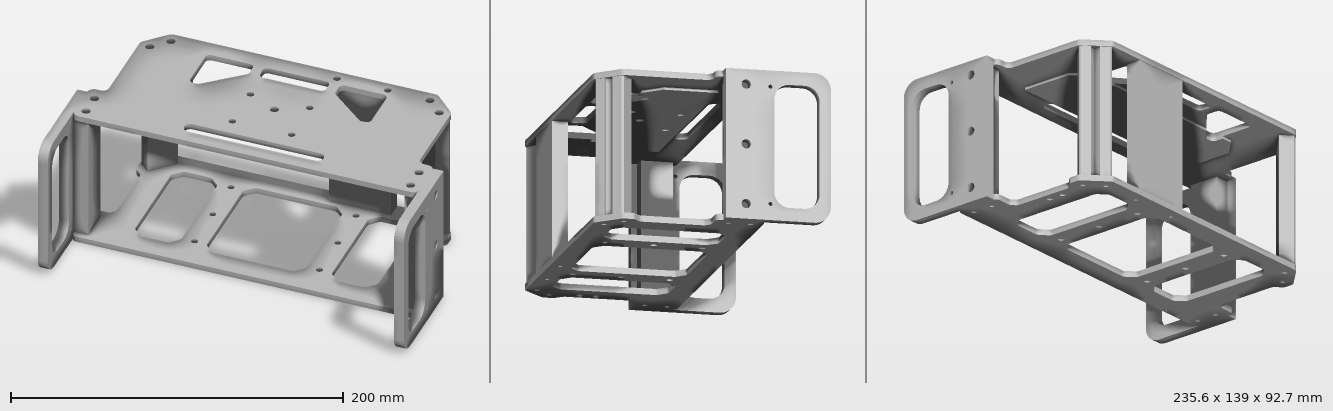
import cadquery as cq
import math

FRAME_HEIGHT = 92.7
PLATE_THICKNESS = 3.8
PLATE_BACK = 100.0
POST_HEIGHT = FRAME_HEIGHT - 2 * PLATE_THICKNESS
TOP_PLATE_Z = FRAME_HEIGHT - PLATE_THICKNESS

OVERALL_WIDTH = 235.6
HANDLE_THICKNESS = 6.5
HANDLE_LENGTH = 65.0
HANDLE_CORNER_RADIUS = 10.0
LEFT_HANDLE_BACK = 26.0
HANDLE_STAGGER = 2.0
GRIP_WIDTH = 28.0
GRIP_HEIGHT = 76.2
GRIP_RADIUS = 9.5
GRIP_FRONT_WALL = 7.0
HANDLE_SCREW_DIAMETER = 5.7
HANDLE_SCREW_SETBACK = 12.6
HANDLE_SCREW_PITCH = 37.0
PIN_HOLE_DIAMETER = 2.5
PIN_HOLE_SETBACK = 27.6
PIN_HOLE_SPACING = 72.6

EAR_HALF_WIDTH = OVERALL_WIDTH / 2 - HANDLE_THICKNESS
BODY_HALF_WIDTH = 100.5
EAR_BACK = 30.2
BACK_CHAMFER = 14.5

TOP_FRONT = 0.5
TOP_CORNER_RADIUS = 4.0
SCREW_CLEARANCE_DIAMETER = 5.5
BACK_SCREW_CLEARANCE_DIAMETER = 4.6
FRONT_SLOT_LENGTH = 90.0
FRONT_SLOT_WIDTH = 8.0
FRONT_SLOT_CENTRE = (1.0, 13.8)
BACK_SLOT_LENGTH = 42.6
BACK_SLOT_WIDTH = 10.2
BACK_SLOT_Y = 83.2
WINDOW_CORNER_RADIUS = 3.0
TRIANGLE_OUTER_X = 58.5
TRIANGLE_INNER_X = 27.8
TRIANGLE_TIP_X = 52.2
TRIANGLE_FRONT = 57.8
TRIANGLE_SIDE_FRONT = 78.6
TRIANGLE_BACK = 88.3
CENTRE_HOLE_DIAMETER = 5.5
CENTRE_HOLE_Y = 50.1
MOUNT_HOLE_DIAMETER = 4.6
MOUNT_HOLE_X = 19.1
MOUNT_HOLE_YS = (29.6, 59.4)

BOTTOM_CORNER_RADIUS = 3.0
WAIST_HALF_WIDTH = 95.5
WAIST_BACK = 73.5
WAIST_FRONT_CHAMFER = 3.5
OPENING_FRONT = 14.5
OPENING_BACK = 86.0
OPENING_CHAMFER = 6.0
CENTRE_OPENING_HALF_WIDTH = 32.2
SIDE_OPENING_INNER_X = 48.5
SIDE_OPENING_OUTER_X = 78.5
RIB_HOLE_DIAMETER = 4.2
RIB_HOLE_X = (CENTRE_OPENING_HALF_WIDTH + SIDE_OPENING_INNER_X) / 2
RIB_HOLE_YS = (21.5, 51.5, 81.5)
EDGE_HOLE_DIAMETER = 4.2
EDGE_HOLE_X = 90.5
EDGE_HOLE_YS = (54.7, 64.7)

BAR_SCREW_DIAMETER = 3.3
BAR_SCREW_SPACING = 13.9
POST_LENGTH = 20.0
POST_INNER_X = 102.0
POST_Y = 14.2
POST_SCREW_X = 104.75
BAR_ANGLE = 45.0
BAR_LENGTH = 20.0
BAR_THICKNESS = 10.0
BAR_INSET = 0.5
BAR_CHAMFER = 1.0
BAR_GROOVE_WIDTH = 5.6
BAR_GROOVE_WALL = 1.5
BAR_SCREW_SETBACK = 6.2
BACK_BAR_X = 39.8
BACK_BAR_WIDTH = 40.0
BACK_BAR_THICKNESS = 10.0
BACK_BAR_INSET = 0.5
BACK_SCREW_DIAMETER = 2.6
BACK_SCREW_SPACING = 32.8
BACK_SCREW_Y = 93.4

SHEET_THICKNESS = 1.6
SHEET_LEFT = -77.3
SHEET_RIGHT = 73.1
SHEET_FRONT = 20.4
SHEET_BACK = 65.4
SHEET_CHAMFER = 11.0


def prism(points, z, height):
    return cq.Workplane("XY").workplane(offset=z).polyline(points).close().extrude(height)


def box(x_min, x_max, y_min, y_max, z, height):
    corners = [(x_min, y_min), (x_max, y_min), (x_max, y_max), (x_min, y_max)]
    return prism(corners, z, height)


def drill(body, points, diameter):
    """Cut round vertical holes right through the frame height at the given points."""
    return body.cut(cq.Workplane("XY").pushPoints(points).circle(diameter / 2).extrude(FRAME_HEIGHT))


def mirrored(half_outline):
    """Close a right-hand half outline, listed front to back, with its left-hand mirror image."""
    return half_outline + [(-x, y) for x, y in reversed(half_outline)]


diagonal_inset = (BAR_INSET + BAR_SCREW_SETBACK) / math.sqrt(2)
chamfer_middle_x = BODY_HALF_WIDTH - BACK_CHAMFER / 2
chamfer_middle_y = PLATE_BACK - BACK_CHAMFER / 2
diagonal_step = BAR_SCREW_SPACING / 2 / math.sqrt(2)
post_screws = []
bar_screws = []
for side in (-1, 1):
    for step in (-1, 1):
        post_screws.append((side * POST_SCREW_X, POST_Y + step * BAR_SCREW_SPACING / 2))
        bar_screw_x = chamfer_middle_x - diagonal_inset + step * diagonal_step
        bar_screw_y = chamfer_middle_y - diagonal_inset - step * diagonal_step
        bar_screws.append((side * bar_screw_x, bar_screw_y))
back_screws = [(BACK_BAR_X + step * BACK_SCREW_SPACING / 2, BACK_SCREW_Y) for step in (-1, 1)]


def top_windows():
    """Lightening windows: a triangle on each side and a slot between them."""
    windows = (
        cq.Workplane("XY")
        .center(0, BACK_SLOT_Y)
        .rect(BACK_SLOT_LENGTH, BACK_SLOT_WIDTH)
        .extrude(FRAME_HEIGHT)
    )
    for side in (-1, 1):
        triangle = [
            (side * TRIANGLE_OUTER_X, TRIANGLE_FRONT),
            (side * TRIANGLE_OUTER_X, TRIANGLE_BACK),
            (side * TRIANGLE_INNER_X, TRIANGLE_BACK),
            (side * TRIANGLE_INNER_X, TRIANGLE_SIDE_FRONT),
            (side * TRIANGLE_TIP_X, TRIANGLE_FRONT),
        ]
        windows = windows.add(prism(triangle, 0, FRAME_HEIGHT))
    return windows.combine().edges("|Z").fillet(WINDOW_CORNER_RADIUS)


def drill_mount_pattern(body):
    """Four mounting holes around a larger centre hole, shared by the top plate and the sheet."""
    mount_holes = [(side * MOUNT_HOLE_X, y) for side in (-1, 1) for y in MOUNT_HOLE_YS]
    body = drill(body, mount_holes, MOUNT_HOLE_DIAMETER)
    return drill(body, [(0, CENTRE_HOLE_Y)], CENTRE_HOLE_DIAMETER)


def make_top_plate():
    """Plate with front ears, chamfered back corners, windows and screw holes."""
    outline = mirrored([
        (EAR_HALF_WIDTH, TOP_FRONT),
        (EAR_HALF_WIDTH, EAR_BACK),
        (BODY_HALF_WIDTH, EAR_BACK),
        (BODY_HALF_WIDTH, PLATE_BACK - BACK_CHAMFER),
        (BODY_HALF_WIDTH - BACK_CHAMFER, PLATE_BACK),
    ])
    plate = prism(outline, TOP_PLATE_Z, PLATE_THICKNESS).edges("|Z").fillet(TOP_CORNER_RADIUS)
    front_slot = (
        cq.Workplane("XY")
        .center(*FRONT_SLOT_CENTRE)
        .slot2D(FRONT_SLOT_LENGTH, FRONT_SLOT_WIDTH)
        .extrude(FRAME_HEIGHT)
    )
    plate = plate.cut(front_slot).cut(top_windows())
    plate = drill_mount_pattern(plate)
    plate = drill(plate, post_screws + bar_screws, SCREW_CLEARANCE_DIAMETER)
    return drill(plate, back_screws, BACK_SCREW_CLEARANCE_DIAMETER)


def opening(x_min, x_max):
    """Chamfered and rounded rectangular opening of the bottom plate."""
    block = box(x_min, x_max, OPENING_FRONT, OPENING_BACK, 0, PLATE_THICKNESS)
    return block.edges("|Z").chamfer(OPENING_CHAMFER).edges("|Z").fillet(BOTTOM_CORNER_RADIUS)


def make_bottom_plate():
    """Plate with front ears, a narrower waist and three large openings."""
    waist_step = BODY_HALF_WIDTH - WAIST_HALF_WIDTH
    outline = mirrored([
        (EAR_HALF_WIDTH, 0),
        (EAR_HALF_WIDTH, EAR_BACK),
        (WAIST_HALF_WIDTH + WAIST_FRONT_CHAMFER, EAR_BACK),
        (WAIST_HALF_WIDTH, EAR_BACK + WAIST_FRONT_CHAMFER),
        (WAIST_HALF_WIDTH, WAIST_BACK),
        (BODY_HALF_WIDTH, WAIST_BACK + waist_step),
        (BODY_HALF_WIDTH, PLATE_BACK - BACK_CHAMFER),
        (BODY_HALF_WIDTH - BACK_CHAMFER, PLATE_BACK),
    ])
    plate = prism(outline, 0, PLATE_THICKNESS).edges("|Z").fillet(BOTTOM_CORNER_RADIUS)
    plate = plate.cut(opening(-CENTRE_OPENING_HALF_WIDTH, CENTRE_OPENING_HALF_WIDTH))
    plate = plate.cut(opening(-SIDE_OPENING_OUTER_X, -SIDE_OPENING_INNER_X))
    plate = plate.cut(opening(SIDE_OPENING_INNER_X, SIDE_OPENING_OUTER_X))
    rib_holes = [(side * RIB_HOLE_X, y) for side in (-1, 1) for y in RIB_HOLE_YS]
    plate = drill(plate, rib_holes, RIB_HOLE_DIAMETER)
    plate = drill(plate, [(EDGE_HOLE_X, y) for y in EDGE_HOLE_YS], EDGE_HOLE_DIAMETER)
    plate = drill(plate, post_screws + bar_screws, BAR_SCREW_DIAMETER)
    return drill(plate, back_screws, BACK_SCREW_DIAMETER)


def make_handle(x_min, y_back):
    """Upright side handle with a grip opening, three screw holes and two pin holes."""
    y_front = y_back - HANDLE_LENGTH
    x_max = x_min + HANDLE_THICKNESS
    handle = box(x_min, x_max, y_front, y_back, 0, FRAME_HEIGHT)
    handle = handle.edges("|X and <Y").fillet(HANDLE_CORNER_RADIUS)
    middle_z = FRAME_HEIGHT / 2
    grip_y = y_front + GRIP_FRONT_WALL + GRIP_WIDTH / 2
    side_plane = cq.Workplane("YZ").workplane(offset=x_min)
    grip = side_plane.center(grip_y, middle_z).rect(GRIP_WIDTH, GRIP_HEIGHT).extrude(HANDLE_THICKNESS)
    handle = handle.cut(grip.edges("|X").fillet(GRIP_RADIUS))
    screw_points = [(y_back - HANDLE_SCREW_SETBACK, middle_z + i * HANDLE_SCREW_PITCH) for i in (-1, 0, 1)]
    pin_points = [(y_back - PIN_HOLE_SETBACK, middle_z + i * PIN_HOLE_SPACING / 2) for i in (-1, 1)]
    for points, diameter in ((screw_points, HANDLE_SCREW_DIAMETER), (pin_points, PIN_HOLE_DIAMETER)):
        handle = handle.cut(side_plane.pushPoints(points).circle(diameter / 2).extrude(HANDLE_THICKNESS))
    return handle


def make_front_post(side):
    """Upright post under the front ears, next to the handle."""
    inner_x = side * POST_INNER_X
    outer_x = side * EAR_HALF_WIDTH
    y_front = POST_Y - POST_LENGTH / 2
    x_min = min(inner_x, outer_x)
    x_max = max(inner_x, outer_x)
    post = box(x_min, x_max, y_front, y_front + POST_LENGTH, PLATE_THICKNESS, POST_HEIGHT)
    return drill(post, post_screws, BAR_SCREW_DIAMETER)


def make_corner_bar(side):
    """Bar along the chamfered back corner, grooved down its outer face to a right-angled V."""
    half_length = BAR_LENGTH / 2
    half_groove = BAR_GROOVE_WIDTH / 2
    outline = [
        (-half_length, -BAR_THICKNESS),
        (half_length, -BAR_THICKNESS),
        (half_length, -BAR_CHAMFER),
        (half_length - BAR_CHAMFER, 0),
        (half_groove, 0),
        (half_groove, -BAR_GROOVE_WALL),
        (0, -BAR_GROOVE_WALL - half_groove),
        (-half_groove, -BAR_GROOVE_WALL),
        (-half_groove, 0),
        (-half_length + BAR_CHAMFER, 0),
        (-half_length, -BAR_CHAMFER),
    ]
    bar = prism(outline, PLATE_THICKNESS, POST_HEIGHT).translate((0, -BAR_INSET, 0))
    bar = bar.rotate((0, 0, 0), (0, 0, 1), -BAR_ANGLE * side)
    bar = bar.translate((side * chamfer_middle_x, chamfer_middle_y, 0))
    return drill(bar, bar_screws, BAR_SCREW_DIAMETER)


def make_back_bar():
    """Flat upright bar near the right end of the back edge."""
    y_back = PLATE_BACK - BACK_BAR_INSET
    x_min = BACK_BAR_X - BACK_BAR_WIDTH / 2
    x_max = x_min + BACK_BAR_WIDTH
    bar = box(x_min, x_max, y_back - BACK_BAR_THICKNESS, y_back, PLATE_THICKNESS, POST_HEIGHT)
    return drill(bar, back_screws, BACK_SCREW_DIAMETER)


def make_backing_sheet():
    """Thin sheet under the top plate, opened under the windows and mounting holes of the top plate."""
    z = TOP_PLATE_Z - SHEET_THICKNESS
    sheet = box(SHEET_LEFT, SHEET_RIGHT, SHEET_FRONT, SHEET_BACK, z, SHEET_THICKNESS)
    sheet = sheet.edges("|Z and >Y").chamfer(SHEET_CHAMFER)
    return drill_mount_pattern(sheet.cut(top_windows()))


top_plate = make_top_plate()
bottom_plate = make_bottom_plate()
left_handle = make_handle(-OVERALL_WIDTH / 2, LEFT_HANDLE_BACK)
right_handle = make_handle(EAR_HALF_WIDTH, LEFT_HANDLE_BACK + HANDLE_STAGGER)
front_posts = [make_front_post(side) for side in (-1, 1)]
corner_bars = [make_corner_bar(side) for side in (-1, 1)]
back_bar = make_back_bar()
backing_sheet = make_backing_sheet()

uprights = front_posts + corner_bars + [back_bar]
bodies = [top_plate, bottom_plate, left_handle, right_handle, backing_sheet] + uprights
result = cq.Compound.makeCompound([body.val() for body in bodies])